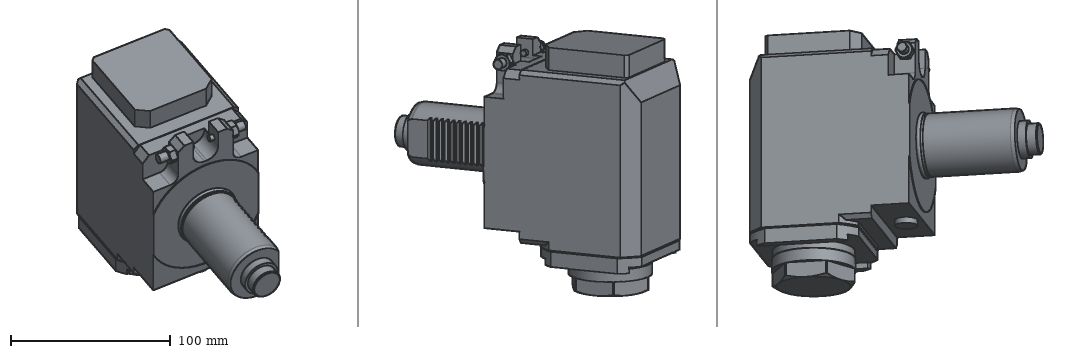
import cadquery as cq
import math


body_width = 76.0
half_width = body_width / 2
body_left = -104.2
body_top = 55.3
body_bottom = -57.8
corner_chamfer = 9.7
top_slope_rise = 14.5
top_slope_run = top_slope_rise * math.tan(math.radians(30))
top_edge_inset = 3.5
top_edge_drop = 2.7

shoulder_start = -24.3
shoulder_top = 54.7
shoulder_inset = 4.7
shoulder_drop = 5.2
shoulder_bottom = -47.7

step_bottom = -55.5
step_inset = 2.7
step_rise = 3.0

notch_start = -13.3
notch_floor = 36.4
notch_fillet = 5.8

post_start = -11.3
post_top = 65.2
post_half_width = 20.0
post_chamfer_inset = 4.5
post_chamfer_drop = 3.8
channel_start = -17.3
channel_half_width = 9.0
channel_floor = 45.0
channel_fillet = 8.1
screw_x = -6.1
screw_z = 56.2
screw_radius = 3.0
screw_end = 31.0
screw_tip_radius = 2.0
screw_tip_end = 6.0
lock_nut_flats = 10.0
lock_nut_end = 24.7
lock_nut_chamfer = 0.7
hex_turn = 30

cover_left = -94.7
cover_right = -34.2
cover_half_width = 27.9
cover_top = 69.7
cover_small_chamfer = 2.2
cover_chamfer_x = 6.0
cover_chamfer_y = 7.5

foot_x = -10.0
foot_radius = 7.2
foot_bottom = -51.5

flange_length = 69.8
spindle_x = body_left + flange_length / 2
flange_radius = 44.5
skirt_radius = 45.2
seam_height = 0.7
seam_depth = 0.5
flange_bottom = -64.5
ear_bottom = -68.2
ear_half_length = 29.2
ear_inner = 32.0
ear_chamfer = 1.5
neck_radius = 26.0

nut_top = -69.3
nut_bottom = -87.3
collar_bottom = -77.4
collar_radius = 26.3
collar_chamfer = 0.4
hex_flats = 46.0
nut_chamfer_height = 1.6
nut_chamfer_width = 3.2

seat_radius = 41.8
seat_height = 0.5
ring_end = 3.2
ring_radius = 20.9
ring_crown = 0.9
relief_end = 4.9
relief_radius = 19.6
shank_end = 63.5
shank_radius = 20.0
shank_chamfer_length = 2.7
shank_chamfer_depth = 0.7
drive_end = 69.0
drive_radius = 11.9
tip_end = 75.8
tip_radius = 9.9
tip_chamfer = 0.7

rack_flat = 15.8
rack_start = 7.4
groove_count = 10
first_groove = 12.0
last_groove = 48.2
groove_depth = 1.5
groove_root = 0.9
groove_mouth = 3.2


def box(x0, x1, y0, y1, z0, z1):
    """Block between the given limits."""
    return cq.Workplane("XY").box(x1 - x0, y1 - y0, z1 - z0, centered=False).translate((x0, y0, z0))


def centred_box(x0, x1, half_y, z0, z1):
    """Block that is symmetric about the middle plane."""
    return box(x0, x1, -half_y, half_y, z0, z1)


def upright_cylinder(x, radius, z0, z1):
    return cq.Workplane("XY", origin=(x, 0, z0)).circle(radius).extrude(z1 - z0)


def shank_cylinder(radius, x0, x1):
    return cq.Workplane("YZ", origin=(x0, 0, 0)).circle(radius).extrude(x1 - x0)


def prism_along_x(points, x0, x1):
    """Extrude a closed (y, z) outline along X."""
    return cq.Workplane("YZ", origin=(x0, 0, 0)).polyline(points).close().extrude(x1 - x0)


def mirrored(points):
    """Add the mirror image about the middle plane to a half outline."""
    return points + [(-y, z) for y, z in reversed(points)]


def make_main_block():
    """Tall block with its chamfered left end and top edges."""
    section = mirrored([
        (half_width, body_bottom),
        (half_width, body_top - top_edge_drop),
        (half_width - top_edge_inset, body_top),
    ])
    block = prism_along_x(section, body_left, shoulder_start)
    slope = (
        cq.Workplane("XZ", origin=(0, half_width, 0))
        .moveTo(body_left, body_top - top_slope_rise)
        .lineTo(body_left, body_top)
        .lineTo(body_left + top_slope_run, body_top)
        .close()
        .extrude(body_width)
    )
    block = block.cut(slope)
    for side in (1, -1):
        corner = (
            cq.Workplane("XY", origin=(0, 0, body_bottom))
            .moveTo(body_left, side * (half_width - corner_chamfer))
            .lineTo(body_left, side * half_width)
            .lineTo(body_left + corner_chamfer, side * half_width)
            .close()
            .extrude(body_top - body_bottom)
        )
        block = block.cut(corner)
    return block.cut(make_underside_waste())


def make_underside_waste():
    """Material removed under the main block, to the right of the rounded skirt."""
    bevel_top = step_bottom + step_rise
    kept_section = mirrored([
        (half_width - step_inset, step_bottom),
        (half_width, bevel_top),
    ])
    kept_step = prism_along_x(kept_section, spindle_x, shoulder_start)
    waste = centred_box(spindle_x, shoulder_start, half_width, body_bottom, bevel_top)
    skirt = upright_cylinder(spindle_x, skirt_radius, body_bottom, body_top).intersect(
        centred_box(spindle_x, spindle_x + flange_length / 2, half_width, body_bottom, body_top)
    )
    return waste.cut(kept_step).cut(skirt)


def make_shoulder():
    """Part of the block that carries the mounting face, with its corner notches."""
    section = mirrored([
        (half_width, shoulder_bottom),
        (half_width, shoulder_top - shoulder_drop),
        (half_width - shoulder_inset, shoulder_top),
    ])
    shoulder = prism_along_x(section, shoulder_start, 0)
    for side in (1, -1):
        wall = side * post_half_width
        notch = (
            cq.Workplane("YZ", origin=(notch_start, 0, 0))
            .moveTo(wall, shoulder_top)
            .lineTo(wall, notch_floor + notch_fillet)
            .radiusArc((wall + side * notch_fillet, notch_floor), -side * notch_fillet)
            .lineTo(side * half_width, notch_floor)
            .lineTo(side * half_width, shoulder_top)
            .close()
            .extrude(-notch_start)
        )
        shoulder = shoulder.cut(notch)
    return shoulder


def make_posts():
    """Upstand on the shoulder; the channel later splits it into two posts."""
    section = mirrored([
        (post_half_width, shoulder_top),
        (post_half_width, post_top - post_chamfer_drop),
        (post_half_width - post_chamfer_inset, post_top),
    ])
    return prism_along_x(section, post_start, 0)


def make_channel():
    """Round-bottomed channel between the posts, open at the mounting face."""
    return (
        centred_box(channel_start, 0, channel_half_width, channel_floor, post_top)
        .edges("|X and <Z")
        .fillet(channel_fillet)
    )


def make_jet_screw(side):
    """Screw and hexagonal lock nut across one post."""
    def rod(radius, near, far):
        plane = cq.Workplane("XZ", origin=(screw_x, side * near, screw_z))
        return plane.circle(radius).extrude(-side * (far - near))

    nut_width = lock_nut_end - post_half_width
    hexagon = (
        cq.Workplane("XZ", origin=(screw_x, side * post_half_width, screw_z))
        .polygon(6, lock_nut_flats, circumscribed=True)
        .extrude(-side * nut_width)
        .rotate((screw_x, 0, screw_z), (screw_x, 1, screw_z), hex_turn)
    )
    outer_face = ">Y" if side > 0 else "<Y"
    corner_radius = lock_nut_flats / math.sqrt(3)
    turned = rod(corner_radius, post_half_width, lock_nut_end).faces(outer_face).chamfer(lock_nut_chamfer)
    lock_nut = hexagon.intersect(turned)
    thread = rod(screw_radius, post_half_width, screw_end)
    tip = rod(screw_tip_radius, screw_tip_end, post_half_width)
    return lock_nut.union(thread).union(tip)


def make_cover():
    """Raised plate on top of the block."""
    half = [
        (cover_left, cover_half_width - cover_small_chamfer),
        (cover_left + cover_small_chamfer, cover_half_width),
        (cover_right - cover_chamfer_x, cover_half_width),
        (cover_right, cover_half_width - cover_chamfer_y),
    ]
    outline = half + [(x, -y) for x, y in reversed(half)]
    return (
        cq.Workplane("XY", origin=(0, 0, body_top))
        .polyline(outline)
        .close()
        .extrude(cover_top - body_top)
    )


def rounded_plate(inset, z0, z1):
    """Rectangular plate under the block, its corners rounded by one large circle."""
    half_length = flange_length / 2 - inset
    plate = centred_box(spindle_x - half_length, spindle_x + half_length, half_width - inset, z0, z1)
    return plate.intersect(upright_cylinder(spindle_x, flange_radius - inset, z0, z1))


def make_flange():
    """Spindle flange with a seam above it, two ears along its sides and the neck."""
    seam_bottom = body_bottom - seam_height
    seam = rounded_plate(seam_depth, seam_bottom, body_bottom)
    plate = rounded_plate(0, flange_bottom, seam_bottom)
    flange = seam.union(plate)
    for side in (1, -1):
        y0, y1 = sorted((side * ear_inner, side * half_width))
        inner_face = "<Y" if side > 0 else ">Y"
        ear_block = (
            box(spindle_x - ear_half_length, spindle_x + ear_half_length, y0, y1, ear_bottom, flange_bottom)
            .faces(inner_face)
            .edges("|Z")
            .chamfer(ear_chamfer)
        )
        flange = flange.union(ear_block.intersect(rounded_plate(0, ear_bottom, flange_bottom)))
    return flange.union(upright_cylinder(spindle_x, neck_radius, nut_top, flange_bottom))


def make_rack_cut():
    """Flat along the +Y side of the shank, with a row of V grooves below it."""
    rack = box(rack_start, shank_end, rack_flat, shank_radius, -shank_radius, shank_radius)
    pitch = (last_groove - first_groove) / (groove_count - 1)
    for index in range(groove_count):
        x = first_groove + index * pitch
        groove = (
            cq.Workplane("XY", origin=(0, 0, -shank_radius))
            .polyline([
                (x - groove_mouth / 2, rack_flat),
                (x - groove_root / 2, rack_flat - groove_depth),
                (x + groove_root / 2, rack_flat - groove_depth),
                (x + groove_mouth / 2, rack_flat),
            ])
            .close()
            .extrude(2 * shank_radius)
        )
        rack = rack.union(groove)
    return rack


def make_shank():
    """Seat disc, sealing ring, clamping shank and the stepped drive end."""
    seat = shank_cylinder(seat_radius, 0, seat_height)
    seat = seat.intersect(centred_box(0, seat_height, half_width, -seat_radius, seat_radius))
    ring_edge = ring_radius - ring_crown
    ring = (
        cq.Workplane("XY")
        .moveTo(seat_height, 0)
        .lineTo(seat_height, ring_edge)
        .threePointArc(((seat_height + ring_end) / 2, ring_radius), (ring_end, ring_edge))
        .lineTo(ring_end, 0)
        .close()
        .revolve(360, (0, 0, 0), (1, 0, 0))
    )
    relief = shank_cylinder(relief_radius, ring_end, relief_end)
    clamped = (
        shank_cylinder(shank_radius, relief_end, shank_end)
        .faces(">X")
        .chamfer(shank_chamfer_length, shank_chamfer_depth)
        .cut(make_rack_cut())
    )
    drive = shank_cylinder(drive_radius, shank_end, drive_end)
    tip = shank_cylinder(tip_radius, drive_end, tip_end).faces(">X").chamfer(tip_chamfer)
    return seat.union(ring).union(relief).union(clamped).union(drive).union(tip)


def make_housing():
    housing = make_main_block().union(make_shoulder()).union(make_posts())
    housing = housing.cut(make_channel())
    for side in (1, -1):
        housing = housing.union(make_jet_screw(side))
    housing = housing.union(make_cover())
    housing = housing.union(upright_cylinder(foot_x, foot_radius, foot_bottom, shoulder_bottom))
    return housing.union(make_flange()).union(make_shank())


def make_collet_nut():
    """Round collar above a hexagon whose corners are turned off and bevelled."""
    collar = (
        upright_cylinder(spindle_x, collar_radius, collar_bottom, nut_top)
        .faces(">Z")
        .chamfer(collar_chamfer)
    )
    hexagon = (
        cq.Workplane("XY", origin=(spindle_x, 0, nut_bottom))
        .polygon(6, hex_flats, circumscribed=True)
        .extrude(collar_bottom - nut_bottom)
        .rotate((spindle_x, 0, 0), (spindle_x, 0, 1), hex_turn)
    )
    bevel_top = nut_bottom + nut_chamfer_height
    turned = (
        cq.Workplane("XZ", origin=(spindle_x, 0, 0))
        .moveTo(0, nut_bottom)
        .lineTo(collar_radius - nut_chamfer_width, nut_bottom)
        .lineTo(collar_radius, bevel_top)
        .lineTo(collar_radius, collar_bottom)
        .lineTo(0, collar_bottom)
        .close()
        .revolve(360, (0, 0, 0), (0, 1, 0))
    )
    return collar.union(hexagon.intersect(turned))


housing = make_housing()
collet_nut = make_collet_nut()

result = cq.Compound.makeCompound([housing.val(), collet_nut.val()])